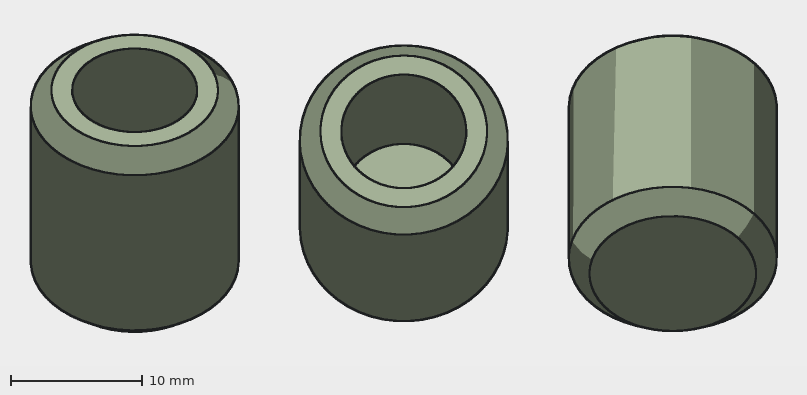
import cadquery as cq

length = 19.05
outer_diameter = 15.87
bore_diameter = 9.52
bore_depth = 12.7
edge_chamfer = 1.58


def chamfered_body():
    """Upright cylinder with equal chamfers on both end edges."""
    cylinder = cq.Workplane("XY").circle(outer_diameter / 2).extrude(length)
    return cylinder.faces("<Z or >Z").edges().chamfer(edge_chamfer)


def add_blind_bore(body):
    """Cut a flat-bottomed bore down from the top face."""
    return body.faces(">Z").workplane().hole(bore_diameter, bore_depth)


result = add_blind_bore(chamfered_body())